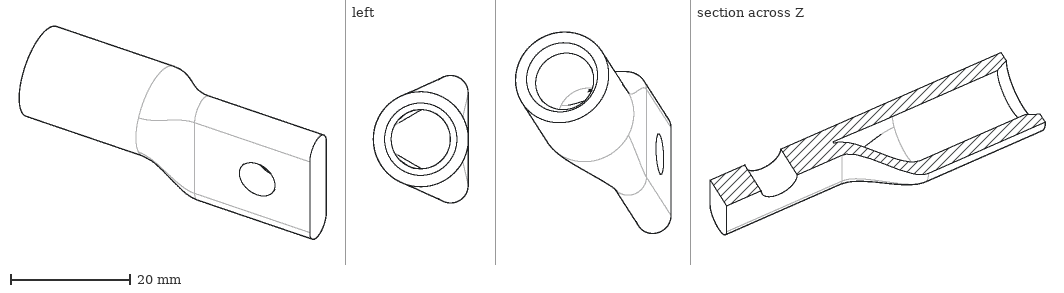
import cadquery as cq
import math

total_length = 55.15
barrel_length = 22.2
neck_length = 11.15
barrel_radius = 15.95 / 2
palm_width = 21.4
palm_thickness = 5.95

mouth_radius = 6.05
bore_radius = 4.95
mouth_depth = 2.3

slit_thickness = 0.2

hole_diameter = 6.8
hole_x = 45.2

flat_half_angle = math.radians(28)
neck_intervals = 6

palm_start = barrel_length + neck_length
palm_length = total_length - palm_start
palm_center_y = palm_thickness / 2 - barrel_radius
palm_flat_half = (palm_width - palm_thickness) / 2


def circle_points(radius):
    """Eight (y, z) points around the barrel axis, starting on the -Y, -Z side."""
    y = radius * math.cos(flat_half_angle)
    z = radius * math.sin(flat_half_angle)
    return [(-y, -z), (-radius, 0), (-y, z), (0, radius),
            (y, z), (radius, 0), (y, -z), (0, -radius)]


def obround_points(thickness):
    """Matching (y, z) points on a flat section with fully rounded edges."""
    half = thickness / 2
    front = palm_center_y - half
    back = palm_center_y + half
    flat = palm_flat_half
    edge = flat + half
    return [(front, -flat), (front, 0), (front, flat), (palm_center_y, edge),
            (back, flat), (back, 0), (back, -flat), (palm_center_y, -edge)]


def section_wire(x, points):
    """Closed section of four edges, each through a start, middle and end point."""
    corners = [cq.Vector(x, y, z) for y, z in points]
    corners.append(corners[0])
    edges = []
    for i in range(0, len(points), 2):
        start, middle, end = corners[i:i + 3]
        if start.y == middle.y == end.y:
            edges.append(cq.Edge.makeLine(start, end))
        else:
            edges.append(cq.Edge.makeThreePointArc(start, middle, end))
    return cq.Wire.assembleEdges(edges)


def neck_loft(radius, thickness):
    """Smooth transition from a round section to a flat one along the neck."""
    wires = []
    for i in range(neck_intervals + 1):
        t = i / neck_intervals
        blend = t * t * (3 - 2 * t)
        points = [
            (y0 * (1 - blend) + y1 * blend, z0 * (1 - blend) + z1 * blend)
            for (y0, z0), (y1, z1) in zip(circle_points(radius), obround_points(thickness))
        ]
        wires.append(section_wire(barrel_length + t * neck_length, points))
    return cq.Workplane(cq.Solid.makeLoft(wires))


def make_palm():
    outline = section_wire(palm_start, obround_points(palm_thickness))
    palm = cq.Workplane(cq.Solid.extrudeLinear(outline, [], cq.Vector(palm_length, 0, 0)))
    hole = (
        cq.Workplane("XZ")
        .center(hole_x, 0)
        .circle(hole_diameter / 2)
        .extrude(barrel_radius, both=True)
    )
    return palm.cut(hole)


def make_bore():
    """Tapered mouth followed by a straight bore to the end of the barrel."""
    return (
        cq.Workplane("XY")
        .polyline([(0, 0), (0, mouth_radius), (mouth_depth, bore_radius),
                   (barrel_length, bore_radius), (barrel_length, 0)])
        .close()
        .revolve(360, (0, 0), (1, 0))
    )


barrel = cq.Workplane("YZ").circle(barrel_radius).extrude(barrel_length).cut(make_bore())
neck = neck_loft(barrel_radius, palm_thickness).cut(neck_loft(bore_radius, slit_thickness))

result = barrel.union(neck).union(make_palm())